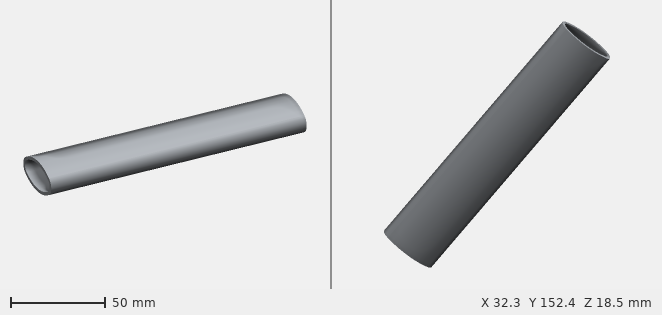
import cadquery as cq
import math

length = 152.4
width = 32.3
height = 18.5
wall = 1.8
end_radius = 6.1

side_center_x = width / 2 - end_radius
rise = height / 2 - end_radius
broad_center_depth = (side_center_x**2 - rise**2) / (2 * rise)
center_distance = math.hypot(side_center_x, broad_center_depth)


def oval_prism(inset):
    """Solid oval bar whose outline lies inset inside the outer surface."""
    half_width = width / 2 - inset
    half_height = height / 2 - inset
    side_radius = end_radius - inset
    join_x = side_center_x + side_radius * side_center_x / center_distance
    join_z = side_radius * broad_center_depth / center_distance
    return (
        cq.Workplane("XZ")
        .moveTo(-join_x, join_z)
        .threePointArc((0, half_height), (join_x, join_z))
        .threePointArc((half_width, 0), (join_x, -join_z))
        .threePointArc((0, -half_height), (-join_x, -join_z))
        .threePointArc((-half_width, 0), (-join_x, join_z))
        .close()
        .extrude(length / 2, both=True)
    )


result = oval_prism(0).cut(oval_prism(wall))